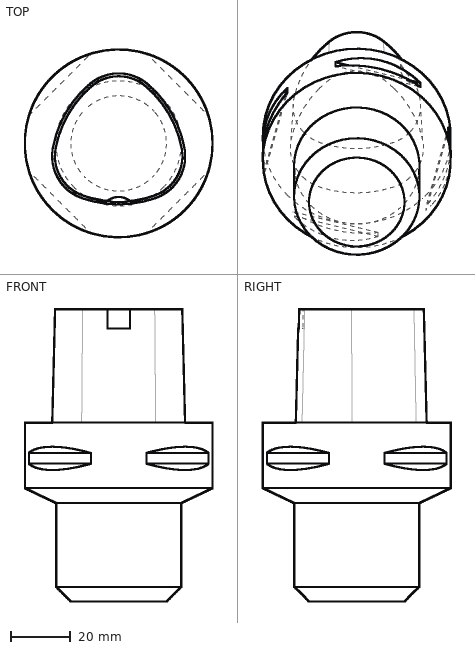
import cadquery as cq
import math


flange_diameter = 63.0
flange_height = 22.0
cone_height = 5.0
shank_diameter = 42.0
shank_chamfer = 5.0
overall_height = 98.0

taper_height = 38.0
lobe_reach = 23.45
side_reach = 20.45
lobe_radius = 14.9
taper_slope = 1 / 40
lobe_count = 3

notch_width = 7.6
notch_depth = 1.55
notch_wall_depth = 0.2
notch_height = 6.5

groove_count = 4
groove_first_angle = 45.0
groove_center_z = -12.0
groove_floor_width = 3.6
groove_depth = 3.65
groove_half_angle = 30.0

shank_length = overall_height - taper_height
flange_radius = flange_diameter / 2
shank_radius = shank_diameter / 2


def polar(radius, degrees):
    """Point at a given radius and angle around the axis."""
    angle = math.radians(degrees)
    return radius * math.cos(angle), radius * math.sin(angle)


def make_body():
    """Flange, cone below it and chamfered shank, revolved about Z."""
    cone_bottom = -flange_height - cone_height
    return (
        cq.Workplane("XZ")
        .moveTo(0, 0)
        .lineTo(flange_radius, 0)
        .lineTo(flange_radius, -flange_height)
        .lineTo(shank_radius, cone_bottom)
        .lineTo(shank_radius, -shank_length + shank_chamfer)
        .lineTo(shank_radius - shank_chamfer, -shank_length)
        .lineTo(0, -shank_length)
        .close()
        .revolve(360, (0, 0, 0), (0, 1, 0))
    )


def draw_lobed_outline(plane, inset):
    """Closed outline of tangent lobe and side arcs, moved inwards by inset."""
    pitch = 360 / lobe_count
    lobe_offset = lobe_reach - lobe_radius
    inner_gap = side_reach - lobe_radius
    side_offset = (lobe_offset**2 - inner_gap**2) / (2 * inner_gap - lobe_offset)
    side_radius = side_reach + side_offset

    lobe_x, lobe_y = polar(lobe_offset, -90 + pitch / 2)
    normal_angle = math.atan2(lobe_y - side_offset, lobe_x)
    seam_x = (side_radius - inset) * math.cos(normal_angle)
    seam_y = side_offset + (side_radius - inset) * math.sin(normal_angle)
    seam_radius = math.hypot(seam_x, seam_y)
    seam_angle = math.degrees(math.atan2(seam_y, seam_x))
    half_side_angle = seam_angle + 90

    outline = plane.moveTo(*polar(seam_radius, -90 - half_side_angle))
    for index in range(lobe_count):
        side_angle = -90 + index * pitch
        next_side_angle = side_angle + pitch
        outline = outline.threePointArc(
            polar(side_reach - inset, side_angle),
            polar(seam_radius, side_angle + half_side_angle),
        ).threePointArc(
            polar(lobe_reach - inset, side_angle + pitch / 2),
            polar(seam_radius, next_side_angle - half_side_angle),
        )
    return outline.close()


def make_taper():
    """Three-lobed taper standing on the flange face."""
    lower = draw_lobed_outline(cq.Workplane("XY"), 0)
    raised = lower.workplane(offset=taper_height)
    return draw_lobed_outline(raised, taper_height * taper_slope).loft(ruled=True)


def make_notch():
    """Short upright slot with parallel walls and a hollow rounded back."""
    half_width = notch_width / 2
    top_side_y = taper_height * taper_slope - side_reach
    wall_y = top_side_y + notch_wall_depth
    return (
        cq.Workplane("XY", origin=(0, 0, taper_height - notch_height))
        .moveTo(-half_width, -side_reach)
        .lineTo(-half_width, wall_y)
        .threePointArc((0, top_side_y + notch_depth), (half_width, wall_y))
        .lineTo(half_width, -side_reach)
        .close()
        .extrude(notch_height)
    )


def make_groove(angle):
    """Straight groove with a flat floor and flared walls, running tangentially."""
    floor_half_width = groove_floor_width / 2
    mouth_half_width = floor_half_width + groove_depth * math.tan(math.radians(groove_half_angle))
    floor_x = flange_radius - groove_depth
    return (
        cq.Workplane("XZ")
        .moveTo(floor_x, groove_center_z - floor_half_width)
        .lineTo(flange_radius, groove_center_z - mouth_half_width)
        .lineTo(flange_radius, groove_center_z + mouth_half_width)
        .lineTo(floor_x, groove_center_z + floor_half_width)
        .close()
        .extrude(flange_radius, both=True)
        .rotate((0, 0, 0), (0, 0, 1), angle)
    )


result = make_body().union(make_taper()).cut(make_notch())
for groove_index in range(groove_count):
    groove_angle = groove_first_angle + groove_index * 360 / groove_count
    result = result.cut(make_groove(groove_angle))